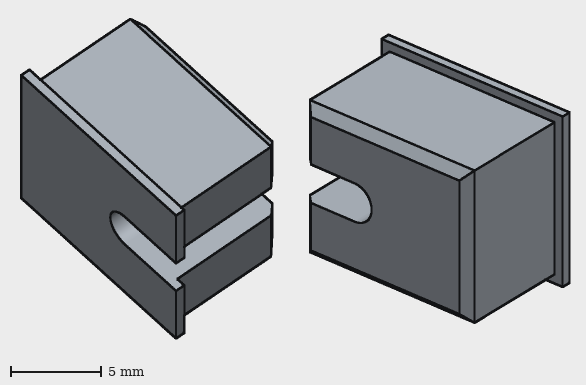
import cadquery as cq

flange_width = 13.15
flange_height = 11.0
flange_thickness = 0.6

total_depth = 8.1
block_inset = 0.59
block_width = flange_width - 2 * block_inset
block_height = flange_height - 2 * block_inset
block_depth = total_depth - flange_thickness
back_chamfer = 0.6

slot_height = 2.47
slot_length = 5.59
slot_radius = slot_height / 2


def make_flange():
    return cq.Workplane("XY").box(
        flange_width, flange_thickness, flange_height, centered=(True, False, True)
    )


def make_block():
    block = cq.Workplane("XY").box(
        block_width, block_depth, block_height, centered=(True, False, True)
    )
    block = block.faces(">Y").edges().chamfer(back_chamfer)
    return block.translate((0, flange_thickness, 0))


def make_slot_cutter():
    open_end = flange_width / 2
    arc_center = open_end - slot_length + slot_radius
    return (
        cq.Workplane("XZ")
        .moveTo(open_end, -slot_radius)
        .lineTo(arc_center, -slot_radius)
        .threePointArc((open_end - slot_length, 0), (arc_center, slot_radius))
        .lineTo(open_end, slot_radius)
        .close()
        .extrude(-total_depth)
    )


result = make_flange().union(make_block()).cut(make_slot_cutter())